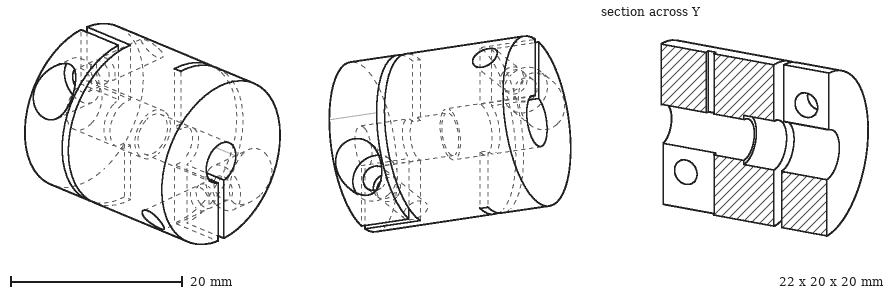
import cadquery as cq

length = 22.0
diameter = 20.0
large_bore = 6.0
small_bore = 5.0
slit_width = 1.0
clamp_width = 6.0
screw_height = 5.5
screw_hole = 3.0
head_diameter = 5.6
head_floor = 3.5

radius = diameter / 2
half_slit = slit_width / 2
screw_inset = clamp_width / 2


def axial_cylinder(size, start, end):
    """Cylinder on the coupling axis between two X positions."""
    return cq.Workplane("YZ", origin=(start, 0, 0)).circle(size / 2).extrude(end - start)


def cross_cylinder(size, start, end):
    """Cylinder along Y at the screw position of the clamp at X = 0."""
    plane = cq.Workplane("XZ", origin=(screw_inset, start, screw_height))
    return plane.circle(size / 2).extrude(start - end)


def clamp_cuts():
    """Slits and screw hole of the clamp at X = 0, with the screw head on -Y."""
    relief = cq.Workplane("XY").box(
        slit_width, radius + half_slit, diameter, centered=(False, False, True)
    ).translate((clamp_width, -radius, 0))
    gap = cq.Workplane("XY").box(
        clamp_width + slit_width, slit_width, radius, centered=(False, True, False)
    )
    hole = cross_cylinder(screw_hole, -radius, radius)
    head = cross_cylinder(head_diameter, -radius, -head_floor)
    return relief.union(gap).union(hole).union(head)


near_clamp = clamp_cuts()
far_clamp = (
    near_clamp.mirror("YZ").mirror("XZ").mirror("XY").translate((length, 0, 0))
)

result = (
    axial_cylinder(diameter, 0, length)
    .cut(axial_cylinder(large_bore, 0, length / 2))
    .cut(axial_cylinder(small_bore, length / 2, length))
    .cut(near_clamp)
    .cut(far_clamp)
)